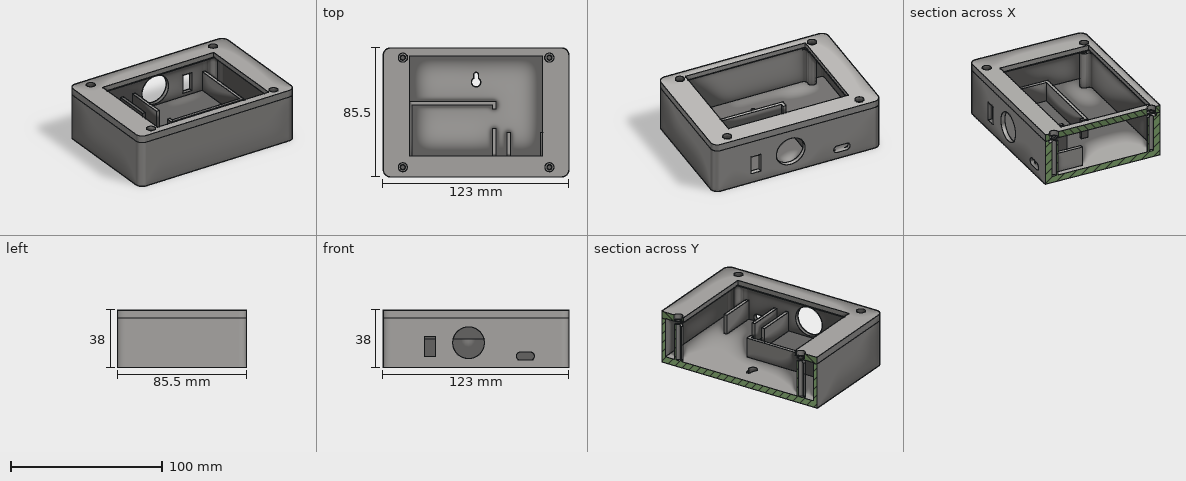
import cadquery as cq
import math

length = 123.0
width = 85.5
height = 38.0
lid_thickness = 5.0
base_height = height - lid_thickness
wall = 3.0
floor = 5.0
corner_radius = 5.0
inner_corner_radius = corner_radius - wall
inner_front = -width / 2 + wall
inner_back = width / 2 - wall

screw_x = length / 2 - 13.0
screw_y = width / 2 - 6.5
post_radius = 3.0
post_blend_radius = 2.5
post_drop = 2.0
post_top = base_height - post_drop
pilot_diameter = 3.0
clearance_diameter = 3.5
head_diameter = 6.0
head_depth = 3.75

window_left = -44.0
window_right = 44.0
window_front = -28.75
window_back = 37.25
recess_depth = 1.5
recess_margin = 1.4

fence_thickness = 2.25
fence_top = 19.0
battery_left = -42.25
battery_right = 11.0
battery_back = 4.9
fence_gap_front = -10.65
fence_gap_back = 2.35

rail_gap = 20.0
rail_back = -13.25

connector_x = 32.6
connector_height = 5.3
connector_z = floor + connector_height / 2
connector_length = 12.0
sensor_x = -5.0
sensor_z = 16.5
sensor_diameter = 21.0
switch_x = -30.5
switch_z = 14.0
switch_width = 7.0
switch_height = 13.5

keyhole_y = 20.0
keyhole_diameter = 6.0
keyhole_slot_width = 3.0
keyhole_slot_end = 25.0


def box_between(x0, x1, y0, y1, z0, z1):
    """Box given by its limits along each axis."""
    return cq.Workplane("XY").box(x1 - x0, y1 - y0, z1 - z0, centered=False).translate((x0, y0, z0))


def rounded_block(size_x, size_y, radius, z0, z1):
    """Upright block, centred on Z, with rounded vertical edges."""
    block = cq.Workplane("XY").workplane(offset=z0).rect(size_x, size_y).extrude(z1 - z0)
    return block.edges("|Z").fillet(radius)


def upright_cylinder(x, y, diameter, z0, z1):
    return cq.Workplane("XY").workplane(offset=z0).center(x, y).circle(diameter / 2).extrude(z1 - z0)


def screw_positions():
    return [(sx * screw_x, sy * screw_y) for sx in (-1, 1) for sy in (-1, 1)]


def screw_post(x, y):
    """Round post that flares into the nearest long wall through two concave arcs."""
    side = math.copysign(1, y)
    wall_distance = inner_back - abs(y)
    reach = post_radius + post_blend_radius
    blend_dy = wall_distance - post_blend_radius
    blend_dx = math.sqrt(reach**2 - blend_dy**2)
    touch_dx = blend_dx * post_radius / reach
    touch_dy = blend_dy * post_radius / reach
    blend_angle = (math.pi / 2 + math.atan2(-blend_dy, -blend_dx) % (2 * math.pi)) / 2
    middle_dx = blend_dx + post_blend_radius * math.cos(blend_angle)
    middle_dy = blend_dy + post_blend_radius * math.sin(blend_angle)

    def place(dx, dy):
        return (x + dx, y + side * dy)

    outline = (
        cq.Workplane("XY")
        .workplane(offset=floor / 2)
        .moveTo(*place(-blend_dx, wall_distance))
        .threePointArc(place(-middle_dx, middle_dy), place(-touch_dx, touch_dy))
        .threePointArc(place(0, -post_radius), place(touch_dx, touch_dy))
        .threePointArc(place(middle_dx, middle_dy), place(blend_dx, wall_distance))
        .lineTo(*place(blend_dx, wall_distance + wall / 2))
        .lineTo(*place(-blend_dx, wall_distance + wall / 2))
        .close()
    )
    return outline.extrude(post_top - floor / 2)


def battery_fence():
    outer_left = battery_left - fence_thickness
    outer_right = battery_right + fence_thickness
    outer_back = battery_back + fence_thickness
    front = inner_front - wall / 2
    bottom = floor / 2
    fence = box_between(outer_left, outer_right, front, outer_back, bottom, fence_top)
    fence = fence.cut(box_between(battery_left, battery_right, front, battery_back, bottom, fence_top))
    return fence.cut(
        box_between(battery_right, outer_right, fence_gap_front, fence_gap_back, bottom, fence_top)
    )


def board_rail(side):
    inner = connector_x + side * rail_gap / 2
    outer = inner + side * fence_thickness
    return box_between(
        min(inner, outer), max(inner, outer), inner_front - wall / 2, rail_back, floor / 2, fence_top
    )


def front_sketch(x, z):
    """Sketch plane on the outer front face, centred on the given point."""
    return cq.Workplane("XZ", origin=(x, -width / 2, z))


def front_wall_openings():
    connector = front_sketch(connector_x, connector_z).slot2D(connector_length, connector_height)
    sensor = front_sketch(sensor_x, sensor_z).circle(sensor_diameter / 2)
    switch = front_sketch(switch_x, switch_z).rect(switch_width, switch_height)
    return [opening.extrude(-wall) for opening in (connector, sensor, switch)]


def keyhole():
    half_slot = keyhole_slot_width / 2
    entry = upright_cylinder(0, keyhole_y, keyhole_diameter, 0, floor)
    slot_end = upright_cylinder(0, keyhole_slot_end, keyhole_slot_width, 0, floor)
    slot = box_between(-half_slot, half_slot, keyhole_y, keyhole_slot_end, 0, floor)
    return entry.union(slot).union(slot_end)


def make_base():
    base = rounded_block(length, width, corner_radius, 0, base_height)
    cavity = rounded_block(length - 2 * wall, width - 2 * wall, inner_corner_radius, floor, base_height)
    base = base.cut(cavity).union(battery_fence())
    for side in (-1, 1):
        base = base.union(board_rail(side))
    for x, y in screw_positions():
        base = base.union(screw_post(x, y))
    for x, y in screw_positions():
        base = base.cut(upright_cylinder(x, y, pilot_diameter, floor, post_top))
    for opening in front_wall_openings():
        base = base.cut(opening)
    return base.cut(keyhole())


def lid_recess():
    """Shallow step around the window on the underside of the lid."""
    return box_between(
        window_left - recess_margin,
        window_right + recess_margin,
        window_front - recess_margin,
        window_back + recess_margin,
        base_height,
        base_height + recess_depth,
    )


def make_lid():
    lid = rounded_block(length, width, corner_radius, base_height, height)
    lid = lid.cut(box_between(window_left, window_right, window_front, window_back, base_height, height))
    lid = lid.cut(lid_recess())
    for x, y in screw_positions():
        lid = lid.cut(upright_cylinder(x, y, clearance_diameter, base_height, height))
        lid = lid.cut(upright_cylinder(x, y, head_diameter, height - head_depth, height))
    return lid


base = make_base()
lid = make_lid()
result = cq.Compound.makeCompound([base.val(), lid.val()])